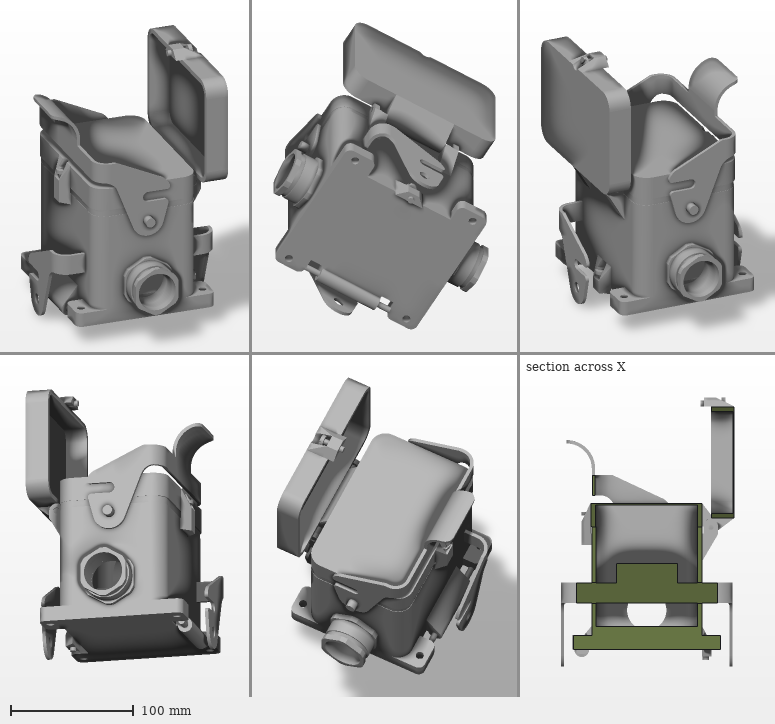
import cadquery as cq
import math

body_x = 133.0
body_y = 90.2
cover_overhang = 0.7
corner_radius = 13.0
wall = 4.0
rim_z = 100.1
seat_z = 94.6
rim_inset = 0.3

cover_height = 19.1
cover_top_thickness = 1.5
floor_z = cover_height

hinge_y = 52.1
lower_hinge_y = 52.9
eye_radius = 6.0
rod_diameter = 5.0
rod_length = 78.8
leaf_width = 54.8
lug_thickness = 4.1
rod_end_recess = 1.0
lug_foot_z = 72.0

latch_front = 52.89
latch_flat = 10.4
latch_slope_z = 4.5
latch_drop = rim_z - seat_z
latch_y = 48.0
latch_pin_diameter = 5.0
latch_pin_reach = 3.0
latch_head_diameter = 2 * (latch_front - latch_y)
latch_head_bottom = 8.9
latch_head_top = 12.1
latch_groove_width = 1.6
latch_groove_depth = 1.6
latch_bore_diameter = 10.2
strike_bottom_z = 85.2
strike_hole_diameter = 5.1

foot_height = 12.0
foot_reach = 60.2
foot_length = 27.2
foot_radius = 5.5
foot_hole_diameter = 6.5
foot_hole_x = 55.5
foot_hole_y = 53.0

pivot_z = 87.6
pivot_pin_diameter = 8.0
pivot_pin_end = 76.4

lever_half_span = 69.95
lever_thickness = 2.8
lever_bar = 44.7
lever_bend_radius = 13.0
lever_pivot_hole = 9.0
lever_eye_radius = 13.8
lever_bar_bottom = 37.9
lever_bar_top = 54.6
lever_slot_height = 20.7
lever_slot_radius = 4.3
handle_width = 50.2
handle_bend_height = 59.6
handle_bend_radius = 20.6
handle_corner_radius = 7.0

gland_z = 32.1
gland_bore = 32.0
gland_tip = 90.6
gland_nut_depth = 4.6
gland_nut_flats = 41.0
gland_nut_corners = 44.2
gland_body_end = 82.1
gland_body_diameter = 39.4
gland_neck_diameter = 37.0
gland_cap_depth = 4.7
gland_cap_flats = 37.4
gland_cap_corners = 40.4

half_x = body_x / 2
wall_y = body_y / 2
cover_front = wall_y + cover_overhang


def rounded_block(length, width, radius, bottom, top):
    """Upright block, centred on Z, with rounded vertical corners."""
    block = cq.Workplane("XY").workplane(offset=bottom).rect(length, width).extrude(top - bottom)
    return block.edges("|Z").fillet(radius)


def upright_cylinder(x, y, diameter, bottom, top):
    return cq.Workplane("XY").workplane(offset=bottom).center(x, y).circle(diameter / 2).extrude(top - bottom)


def x_cylinder(y, z, diameter, start, end):
    return cq.Workplane("YZ").workplane(offset=start).center(y, z).circle(diameter / 2).extrude(end - start)


def x_prism(outline, width):
    """Extrude a closed YZ outline, centred on the plane X = 0."""
    return outline.close().extrude(width / 2, both=True)


def tangent_point(point, centre, radius, side):
    """Where the line from point touches a circle; side is +1 or -1."""
    dx = point[0] - centre[0]
    dy = point[1] - centre[1]
    angle = math.atan2(dy, dx) + side * math.acos(radius / math.hypot(dx, dy))
    return (centre[0] + radius * math.cos(angle), centre[1] + radius * math.sin(angle))


def latch_block(root_y, bottom, top):
    """Boss on a -Y wall whose sides run in at 45 degrees to a flat front; root_y is that wall."""
    flat = latch_flat / 2
    root = flat + latch_front - root_y
    return (
        cq.Workplane("XY").workplane(offset=bottom)
        .moveTo(-root, -root_y)
        .lineTo(-flat, -latch_front)
        .lineTo(flat, -latch_front)
        .lineTo(root, -root_y)
        .close()
        .extrude(top - bottom)
    )


def add_latch(body, root_y):
    """Latch boss with its headed pin, on the -Y wall at root_y of a body whose rim lies at Z = 0."""
    boss = latch_block(root_y, -latch_drop, cover_height)
    slope = x_prism(
        cq.Workplane("YZ")
        .moveTo(-root_y, cover_height)
        .lineTo(-latch_front, latch_slope_z)
        .lineTo(-latch_front, cover_height),
        body_x,
    )
    bore = upright_cylinder(0, -latch_y, latch_bore_diameter, latch_slope_z, cover_height)
    bore_mouth = cq.Workplane("XY").box(
        latch_bore_diameter, latch_front, cover_height - latch_slope_z, centered=(True, False, False)
    ).translate((0, -latch_y - latch_front, latch_slope_z))
    pin = upright_cylinder(0, -latch_y, latch_pin_diameter, -latch_drop - latch_pin_reach, latch_head_top)
    head = upright_cylinder(0, -latch_y, latch_head_diameter, latch_head_bottom, latch_head_top)
    groove = (
        cq.Workplane("XY")
        .box(latch_head_diameter, latch_groove_width, 2 * latch_groove_depth)
        .rotate((0, 0, 0), (0, 0, 1), 45)
        .translate((0, -latch_y, latch_head_top))
    )
    bored = body.union(boss.cut(slope)).cut(bore).cut(bore_mouth)
    return bored.union(pin.union(head).cut(groove))


def hinge_leaf(axis_y):
    """Solid leaf on the +Y side, sloping from the top edge to a round eye at Z = 0."""
    top_edge = (wall_y, cover_height)
    touch = tangent_point(top_edge, (axis_y, 0), eye_radius, -1)
    leaf = x_prism(
        cq.Workplane("YZ")
        .moveTo(*top_edge)
        .lineTo(*touch)
        .lineTo(axis_y, 0)
        .lineTo(wall_y, 0),
        leaf_width,
    )
    return leaf.union(x_cylinder(axis_y, 0, 2 * eye_radius, -leaf_width / 2, leaf_width / 2))


def housing_shell():
    base = rounded_block(body_x, body_y, corner_radius, 0, seat_z)
    rim = rounded_block(
        body_x - 2 * rim_inset, body_y - 2 * rim_inset, corner_radius - rim_inset, seat_z, rim_z
    )
    cavity = rounded_block(
        body_x - 2 * wall, body_y - 2 * wall, corner_radius - wall, floor_z, rim_z
    )
    return base.union(rim).cut(cavity)


def add_feet(body):
    """Four corner feet, each with a screw hole."""
    inner_x = half_x - foot_length
    for side_x in (-1, 1):
        for side_y in (-1, 1):
            foot = (
                cq.Workplane("XY")
                .center(side_x * (half_x + inner_x) / 2, side_y * foot_reach / 2)
                .rect(foot_length, foot_reach)
                .extrude(foot_height)
                .edges("|Z").edges(">Y" if side_y > 0 else "<Y").fillet(foot_radius)
            )
            hole = upright_cylinder(
                side_x * foot_hole_x, side_y * foot_hole_y, foot_hole_diameter, 0, foot_height
            )
            body = body.union(foot).cut(hole)
    return body


def hinge_rod(y, z):
    return x_cylinder(y, z, rod_diameter, -rod_length / 2, rod_length / 2)


def cover_hinge():
    """Pair of gussets on the +Y wall whose outer parts rise into lugs that hold the hinge rod."""
    eye_inner = hinge_y - eye_radius
    eye_outer = hinge_y + eye_radius
    pad_z = rim_z - eye_radius
    gusset = x_prism(
        cq.Workplane("YZ")
        .moveTo(wall_y, lug_foot_z)
        .lineTo(eye_outer, pad_z)
        .lineTo(wall_y, pad_z),
        rod_length,
    )
    lugs = x_prism(
        cq.Workplane("YZ")
        .moveTo(wall_y, pad_z)
        .lineTo(eye_outer, pad_z)
        .lineTo(eye_outer, rim_z)
        .threePointArc((hinge_y, rim_z + eye_radius), (eye_inner, rim_z))
        .lineTo(eye_inner, seat_z)
        .lineTo(wall_y, seat_z),
        rod_length,
    )
    leaf_room = cq.Workplane("XY").box(
        leaf_width, foot_reach, body_x, centered=(True, False, True)
    ).translate((0, wall_y, rim_z))
    lug_gap = cq.Workplane("XY").box(
        rod_length - 2 * lug_thickness, foot_reach, body_x, centered=(True, False, False)
    ).translate((0, wall_y, pad_z))
    hinge = gusset.union(lugs.cut(lug_gap)).cut(leaf_room).union(hinge_rod(hinge_y, rim_z))
    for side in (-1, 1):
        end = side * rod_length / 2
        hinge = hinge.cut(x_cylinder(hinge_y, rim_z, rod_diameter, end - side * rod_end_recess, end))
    return hinge


def strike():
    """Boss under the closed cover's latch, with the hole that takes the latch pin."""
    boss = latch_block(wall_y, strike_bottom_z, seat_z)
    return boss.cut(
        upright_cylinder(0, -latch_y, strike_hole_diameter, seat_z - latch_pin_reach, seat_z)
    )


def housing(lower_lever):
    body = add_feet(housing_shell())
    body = body.union(hinge_leaf(lower_hinge_y).rotate((0, 0, 0), (0, 0, 1), 180))
    body = add_latch(body.rotate((0, 0, 0), (0, 0, 1), 180), wall_y).rotate((0, 0, 0), (0, 0, 1), 180)
    body = body.union(hinge_rod(-lower_hinge_y, 0))
    body = body.union(cover_hinge()).union(strike())
    for side in (-1, 1):
        body = body.union(x_cylinder(0, pivot_z, pivot_pin_diameter, side * half_x, side * pivot_pin_end))
        body = body.cut(x_cylinder(0, gland_z, gland_bore, side * (half_x - wall), side * half_x))
    return body.cut(lower_lever)


def cover_shell():
    """Cover with its latch, rim at Z = 0 and top upwards."""
    cover_y = body_y + cover_overhang
    shell = rounded_block(body_x, cover_y, corner_radius, 0, cover_height)
    cavity = rounded_block(
        body_x - 2 * wall, cover_y - 2 * wall, corner_radius - wall, 0, cover_height - cover_top_thickness
    )
    return add_latch(shell.cut(cavity).translate((0, -cover_overhang / 2, 0)), cover_front)


def open_cover():
    """Cover swung up by a quarter turn about the hinge rod."""
    rod_hole = x_cylinder(hinge_y, 0, rod_diameter, -leaf_width / 2, leaf_width / 2)
    cover = cover_shell().union(hinge_leaf(hinge_y)).cut(rod_hole)
    return cover.rotate((0, hinge_y, 0), (1, hinge_y, 0), -90).translate((0, 0, rim_z))


def closed_cover():
    """Cover on the housing, its leaf stopping at the open cover and hollowed around that cover's eye."""
    beyond_hinge = cq.Workplane("XY").box(
        body_x, 2 * eye_radius, 4 * cover_height
    ).translate((0, hinge_y + eye_radius, 0))
    eye_room = x_cylinder(hinge_y, 0, 2 * eye_radius, -leaf_width / 2, leaf_width / 2)
    leaf = hinge_leaf(hinge_y).cut(beyond_hinge).cut(eye_room)
    return cover_shell().union(leaf).translate((0, 0, rim_z))


def lever_side_profile():
    """Side plate shape in the YZ plane, pivot at the origin, cross bar towards -Y."""
    top_corner = (-28.0, lever_bar_top)
    nose_start = (11.1, 36.3)
    nose_crown = (16.2, 33.2)
    nose_end = (19.1, 28.6)
    nose_tuck = (18.9, 26.4)
    slot_top = lever_slot_height + lever_slot_radius
    nose_tip = (17.0, slot_top)
    slot_bottom = lever_slot_height - lever_slot_radius
    jaw_start = (15.1, slot_bottom)
    jaw_crown = (17.3, 15.2)
    jaw_corner = (17.8, 12.7)
    neck = (-26.7, 30.2)
    neck_middle = (-30.3, 35.2)
    bar_corner = (-36.6, lever_bar_bottom)
    back = tangent_point(jaw_corner, (0, 0), lever_eye_radius, -1)
    front = tangent_point(neck, (0, 0), lever_eye_radius, 1)
    return (
        cq.Workplane("YZ")
        .moveTo(-lever_bar, lever_bar_top)
        .lineTo(*top_corner)
        .lineTo(*nose_start)
        .threePointArc(nose_crown, nose_end)
        .threePointArc(nose_tuck, nose_tip)
        .lineTo(0, slot_top)
        .threePointArc((-lever_slot_radius, lever_slot_height), (0, slot_bottom))
        .lineTo(*jaw_start)
        .threePointArc(jaw_crown, jaw_corner)
        .lineTo(*back)
        .threePointArc((0, -lever_eye_radius), front)
        .lineTo(*neck)
        .threePointArc(neck_middle, bar_corner)
        .lineTo(-lever_bar, lever_bar_bottom)
    )


def lever_strip():
    """U-shaped bent strip seen from above, open towards +Y."""
    depth = 2 * lever_bar
    height = lever_bar_top + lever_eye_radius

    def block(inset):
        return (
            cq.Workplane("XY").workplane(offset=-lever_eye_radius)
            .rect(2 * (lever_half_span - inset), depth)
            .extrude(height)
            .translate((0, inset, 0))
            .edges("|Z and <Y").fillet(lever_bend_radius - inset)
        )

    return block(0).cut(block(lever_thickness))


def handle():
    """Finger tab rising from the cross bar and curling outwards."""
    bend_centre = lever_bar + handle_bend_radius
    outer = handle_bend_radius + lever_thickness
    bend_middle = handle_bend_radius * math.sqrt(0.5)
    outer_middle = outer * math.sqrt(0.5)
    tab = x_prism(
        cq.Workplane("YZ")
        .moveTo(-lever_bar, lever_bar_bottom)
        .lineTo(-lever_bar, handle_bend_height)
        .threePointArc(
            (-bend_centre + bend_middle, handle_bend_height + bend_middle),
            (-bend_centre, handle_bend_height + handle_bend_radius),
        )
        .lineTo(-bend_centre, handle_bend_height + outer)
        .threePointArc(
            (-bend_centre + outer_middle, handle_bend_height + outer_middle),
            (lever_thickness - lever_bar, handle_bend_height),
        )
        .lineTo(lever_thickness - lever_bar, lever_bar_bottom),
        handle_width,
    )
    return tab.faces("<Y").edges("|Z").fillet(handle_corner_radius)


def lever():
    """Locking lever with its pivot axis along X through the origin."""
    plates = x_prism(lever_side_profile(), 2 * lever_half_span)
    frame = lever_strip().intersect(plates)
    pivot = x_cylinder(0, 0, lever_pivot_hole, -lever_half_span, lever_half_span)
    return frame.cut(pivot).union(handle())


def hexagon(flats, corners, start, depth):
    """Hexagon along X with a corner upwards, its corners turned down to a diameter."""
    nut = (
        cq.Workplane("YZ").workplane(offset=start)
        .polygon(6, flats / math.cos(math.pi / 6))
        .extrude(depth)
        .rotate((0, 0, 0), (1, 0, 0), 90)
    )
    return nut.intersect(x_cylinder(0, 0, corners, start, start + depth))


def gland():
    """Cable gland pointing towards +X from the housing wall."""
    body = hexagon(gland_nut_flats, gland_nut_corners, half_x, gland_nut_depth)
    body = body.union(x_cylinder(0, 0, gland_body_diameter, half_x, gland_body_end))
    body = body.union(x_cylinder(0, 0, gland_neck_diameter, half_x, gland_tip))
    cap_start = gland_tip - gland_cap_depth
    body = body.union(hexagon(gland_cap_flats, gland_cap_corners, cap_start, gland_cap_depth))
    return body.cut(x_cylinder(0, 0, gland_bore, half_x, gland_tip)).translate((0, 0, gland_z))


upper_lever = lever().translate((0, 0, pivot_z))
lower_lever = lever().rotate((0, 0, 0), (0, 0, 1), 90)
glands = [gland().rotate((0, 0, 0), (0, 0, 1), turn) for turn in (0, 180)]

result = cq.Compound.makeCompound([
    housing(lower_lever).val(),
    closed_cover().val(),
    open_cover().val(),
    upper_lever.val(),
    lower_lever.val(),
    *[item.val() for item in glands],
])